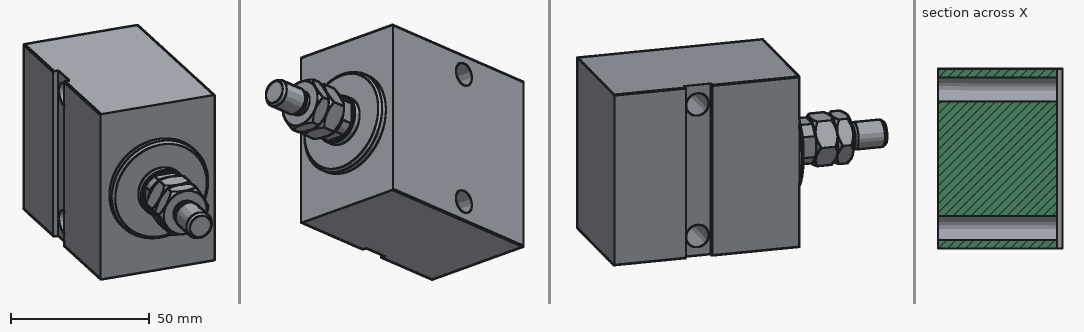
import cadquery as cq
import math


overall_length = 109.0

block_length = 70.0
block_width = 45.0
block_height = 65.0
block_edge_chamfer = 0.3

flange_radius = 19.0
flange_length = 3.0
flange_chamfer = 1.0

groove_start = 27.0
groove_width = 10.0
groove_depth = 2.0
bolt_hole_diameter = 8.5
bolt_hole_spacing = 50.0

rod_radius = 8.9
rod_chamfer = 0.5
collar_length = 2.9
neck_radius = 8.5
neck_chamfer = 0.3
neck_across_flats = 15.0

hex_across_flats = 17.0
hex_corner_radius = hex_across_flats / math.sqrt(3)
hex_chamfer = 1.4
nut_length = 8.2
stud_hex_length = 6.0

thread_radius = 5.0
undercut_radius = 4.1
undercut_root_radius = 4.6
undercut_root_length = 1.0
undercut_end = 2.0
tip_chamfer_length = 1.2
thread_depth = thread_radius - undercut_radius

stud_length = 14.0
stud_tip = overall_length - block_length
stud_hex_end = stud_tip - stud_length
stud_hex_start = stud_hex_end - stud_hex_length
rod_end = stud_hex_start - nut_length
collar_end = flange_length + collar_length


def turned(profile):
    """Revolve a list of (x, radius) points about the X axis."""
    return cq.Workplane("XY").polyline(profile).close().revolve(360, (0, 0, 0), (1, 0, 0))


def chamfered_cylinder(start, end, radius, chamfer):
    """Cylinder along X with a 45-degree chamfer at its +X end."""
    return turned([
        (start, 0),
        (start, radius),
        (end - chamfer, radius),
        (end, radius - chamfer),
        (end, 0),
    ])


def make_hexagon(start, length):
    """Hexagonal prism along X, corners toward +Y and -Y, turned down at both ends."""
    end = start + length
    end_radius = hex_corner_radius - hex_chamfer
    prism = (
        cq.Workplane("YZ", origin=(start, 0, 0))
        .polygon(6, 2 * hex_corner_radius)
        .extrude(length)
    )
    envelope = turned([
        (start, 0),
        (start, end_radius),
        (start + hex_chamfer, hex_corner_radius),
        (end - hex_chamfer, hex_corner_radius),
        (end, end_radius),
        (end, 0),
    ])
    return prism.intersect(envelope)


def make_housing():
    """Block with a front flange, a mounting groove and two bolt holes."""
    block = (
        cq.Workplane("XY")
        .box(block_length, block_width, block_height)
        .translate((-block_length / 2, 0, 0))
        .edges("|X")
        .chamfer(block_edge_chamfer)
    )
    groove_middle = -block_length + groove_start + groove_width / 2
    groove = (
        cq.Workplane("XY")
        .box(groove_width, 2 * groove_depth, block_height)
        .translate((groove_middle, -block_width / 2, 0))
    )
    bolt_holes = (
        cq.Workplane("XZ")
        .pushPoints([(groove_middle, side * bolt_hole_spacing / 2) for side in (-1, 1)])
        .circle(bolt_hole_diameter / 2)
        .extrude(block_width, both=True)
    )
    flange = chamfered_cylinder(0, flange_length, flange_radius, flange_chamfer)
    return block.cut(groove).cut(bolt_holes).union(flange)


def make_rod():
    """Visible end of the piston rod, standing on the flange."""
    collar = chamfered_cylinder(flange_length, collar_end, rod_radius, rod_chamfer)
    neck_length = rod_end - collar_end
    flats = (
        cq.Workplane("YZ", origin=(collar_end, 0, 0))
        .rect(neck_across_flats, neck_across_flats)
        .extrude(neck_length)
    )
    neck = chamfered_cylinder(collar_end, rod_end, neck_radius, neck_chamfer).intersect(flats)
    return collar.union(neck)


def make_lock_nut():
    """Hexagon nut between the rod and the stud, with a bore for the stud shank."""
    bore = (
        cq.Workplane("YZ", origin=(rod_end, 0, 0))
        .circle(thread_radius)
        .extrude(nut_length)
    )
    return make_hexagon(rod_end, nut_length).cut(bore)


def make_stud():
    """Stud with a shank inside the lock nut, a hexagon and a threaded end."""
    shank_and_thread = turned([
        (rod_end, 0),
        (rod_end, thread_radius),
        (stud_hex_end, thread_radius),
        (stud_hex_end, undercut_root_radius),
        (stud_hex_end + undercut_root_length, undercut_radius),
        (stud_hex_end + undercut_end, undercut_radius),
        (stud_hex_end + undercut_end + thread_depth, thread_radius),
        (stud_tip - tip_chamfer_length, thread_radius),
        (stud_tip, undercut_radius),
        (stud_tip, 0),
    ])
    return make_hexagon(stud_hex_start, stud_hex_length).union(shank_and_thread)


housing = make_housing()
rod = make_rod()
lock_nut = make_lock_nut()
stud = make_stud()

result = cq.Compound.makeCompound([housing.val(), rod.val(), lock_nut.val(), stud.val()])